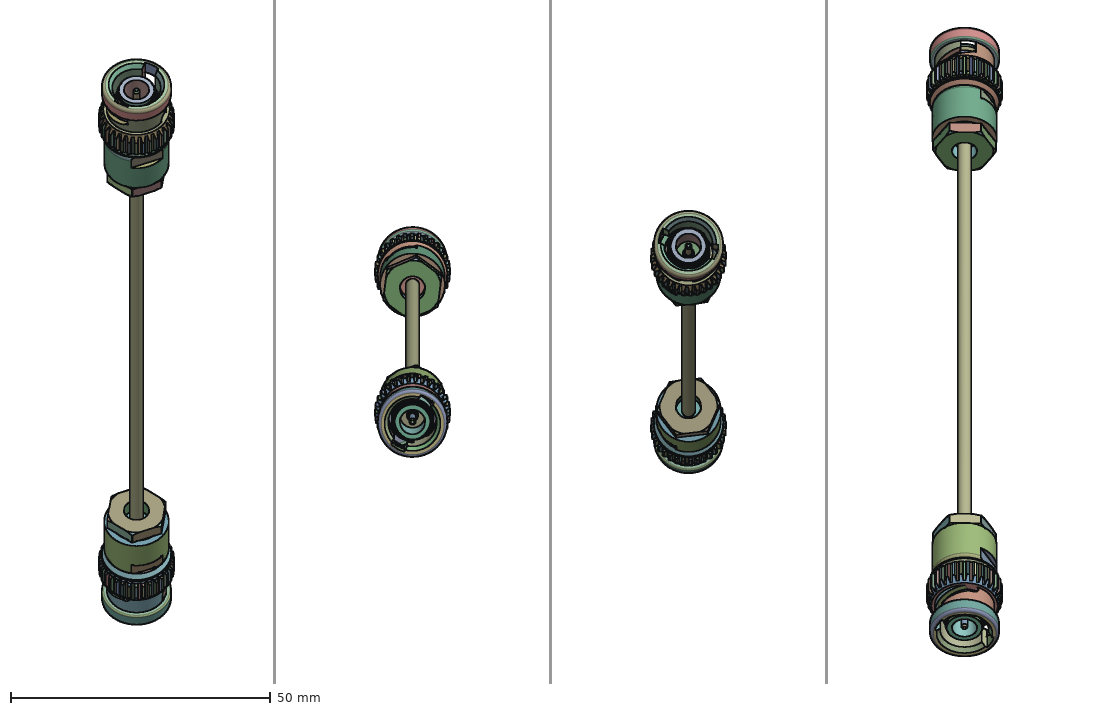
import cadquery as cq
import math

assembly_length = 156.0
connector_length = 27.0

rim_diameter = 13.4
rim_depth = 3.0
rim_front_fillet = 0.6
rim_rear_fillet = 0.3
neck_diameter = 11.5
ring_bore_diameter = 9.4
lead_in_diameter = 10.8
lead_in_depth = 1.0
knurl_diameter = 14.5
knurl_start = 7.5
knurl_front_diameter = 12.8
knurl_front_chamfer = 1.5
knurl_end = 13.0
knurl_rear_chamfer = 0.5
knurl_count = 32
knurl_groove_depth = 0.6
knurl_groove_width = 1.0
knurl_groove_floor_width = 0.5
relief_diameter = 12.5
flange_start = 13.7
flange_diameter = 13.4
flange_taper_start = 14.0
flange_end = 14.8
flange_rear_diameter = 11.7
ring_cavity_depth = 8.5

slot_count = 2
entry_azimuth = -126.0
entry_width = 3.0
entry_end = 5.5
lock_azimuth = -45.0
lock_diameter = 2.0
lock_depth = 7.0
ramp_start = 5.1
ramp_width = 1.5

sleeve_tip_depth = 1.5
sleeve_diameter = 6.9
sleeve_base_diameter = 7.5
sleeve_step_depth = 2.5
sleeve_collar_diameter = 8.1
sleeve_collar_depth = 3.9
sleeve_bore_diameter = 4.8
sleeve_bore_end = 7.8
insulator_bore_diameter = 2.2
insulator_bore_end = 8.5
pin_diameter = 1.26
pin_tip_diameter = 0.72
pin_tip_length = 0.5
pin_tip_depth = 1.5
pin_shoulder_diameter = 1.5
pin_shoulder_depth = 7.0

body_diameter = 12.5
body_fillet = 0.85
body_end = 23.7
flat_distance = 10.6
flat_end = 17.8
nut_sides = 6
nut_corner_diameter = 12.2
nut_neck_diameter = 9.8
nut_start = 24.5
nut_face_diameter = 11.0
nut_chamfer = 0.3
cable_entry_diameter = 4.8
cable_entry_length = 3.1

cable_diameter = 2.7


def revolve_profile(points):
    """Revolve a closed (diameter, depth) outline; the mating face lies at depth 0."""
    outline = [(diameter / 2, depth) for diameter, depth in points]
    return cq.Workplane("XZ").polyline(outline).close().revolve(360, (0, 0), (0, 1))


def cylinder(diameter, start, end):
    """Cylinder on the connector axis between two depths."""
    return cq.Workplane("XY", origin=(0, 0, start)).circle(diameter / 2).extrude(end - start)


def make_slotted_neck():
    """Rim and neck of the coupling ring with the two bayonet slots cut through the wall."""
    neck = revolve_profile([
        (lead_in_diameter, 0),
        (rim_diameter, 0),
        (rim_diameter, rim_depth),
        (neck_diameter, rim_depth),
        (neck_diameter, ring_cavity_depth),
        (ring_bore_diameter, ring_cavity_depth),
        (ring_bore_diameter, lead_in_depth),
    ])
    largest_radius = cq.selectors.RadiusNthSelector(-1)
    neck = neck.edges(largest_radius).edges("<Z").fillet(rim_front_fillet)
    neck = neck.edges(largest_radius).edges(">Z").fillet(rim_rear_fillet)
    for index in range(slot_count):
        slot = make_bayonet_slot().rotate((0, 0, 0), (0, 0, 1), index * 360 / slot_count)
        neck = neck.cut(slot)
    return neck


def make_bayonet_slot():
    """Axial entry slot, sloping ramp and round locking end of one bayonet slot."""
    reach = neck_diameter / 2
    entry = cq.Workplane("XY").box(reach, entry_width, entry_end, centered=(False, True, False))
    entry = entry.intersect(cylinder(neck_diameter, 0, entry_end))
    entry = entry.rotate((0, 0, 0), (0, 0, 1), entry_azimuth)

    lock = cq.Workplane("YZ").center(0, lock_depth).circle(lock_diameter / 2).extrude(reach)
    lock = lock.rotate((0, 0, 0), (0, 0, 1), lock_azimuth)

    half_span = (lock_azimuth - entry_azimuth) / 2
    ramp_run = neck_diameter * math.sin(math.radians(half_span))
    ramp_rise = lock_depth - ramp_start
    ramp_angle = math.degrees(math.atan2(ramp_rise, ramp_run))
    ramp_length = math.hypot(ramp_rise, ramp_run)
    ramp = (
        cq.Workplane("YZ")
        .center(0, (ramp_start + lock_depth) / 2)
        .slot2D(ramp_length + ramp_width, ramp_width, ramp_angle)
        .extrude(reach)
        .rotate((0, 0, 0), (0, 0, 1), lock_azimuth - half_span)
    )
    return entry.union(lock).union(ramp)


def make_knurled_grip():
    """Grip of the coupling ring with axial flat-bottomed grooves, followed by the rear flange."""
    grip = revolve_profile([
        (ring_bore_diameter, knurl_start),
        (knurl_front_diameter, knurl_start),
        (knurl_diameter, knurl_start + knurl_front_chamfer),
        (knurl_diameter, knurl_end - knurl_rear_chamfer),
        (knurl_diameter - 2 * knurl_rear_chamfer, knurl_end),
        (ring_bore_diameter, knurl_end),
    ])
    floor_radius = knurl_diameter / 2 - knurl_groove_depth
    groove = (
        cq.Workplane("XY", origin=(0, 0, knurl_start))
        .polyline([
            (floor_radius, knurl_groove_floor_width / 2),
            (knurl_diameter / 2, knurl_groove_width / 2),
            (knurl_diameter / 2, -knurl_groove_width / 2),
            (floor_radius, -knurl_groove_floor_width / 2),
        ])
        .close()
        .extrude(knurl_end - knurl_start)
    )
    grooves = [
        groove.val().rotate(cq.Vector(0, 0, 0), cq.Vector(0, 0, 1), (index + 0.5) * 360 / knurl_count)
        for index in range(knurl_count)
    ]
    grip = grip.cut(cq.Workplane("XY").newObject([cq.Compound.makeCompound(grooves)]))
    flange = revolve_profile([
        (0, ring_cavity_depth),
        (ring_bore_diameter, ring_cavity_depth),
        (ring_bore_diameter, knurl_end),
        (relief_diameter, knurl_end),
        (flange_diameter, flange_start),
        (flange_diameter, flange_taper_start),
        (flange_rear_diameter, flange_end),
        (0, flange_end),
    ])
    return grip.union(flange)


def make_contact_sleeve():
    """Stepped outer contact sleeve around the centre pin."""
    sleeve = revolve_profile([
        (sleeve_bore_diameter, sleeve_tip_depth),
        (sleeve_diameter, sleeve_tip_depth),
        (sleeve_diameter, sleeve_step_depth),
        (sleeve_base_diameter, sleeve_step_depth),
        (sleeve_base_diameter, sleeve_collar_depth),
        (sleeve_collar_diameter, sleeve_collar_depth),
        (sleeve_collar_diameter, ring_cavity_depth),
        (insulator_bore_diameter, ring_cavity_depth),
        (insulator_bore_diameter, sleeve_bore_end),
        (sleeve_bore_diameter, sleeve_bore_end),
    ])
    pin = revolve_profile([
        (0, pin_tip_depth),
        (pin_tip_diameter, pin_tip_depth),
        (pin_diameter, pin_tip_depth + pin_tip_length),
        (pin_diameter, pin_shoulder_depth),
        (pin_shoulder_diameter, pin_shoulder_depth),
        (pin_shoulder_diameter, insulator_bore_end),
        (0, insulator_bore_end),
    ])
    return sleeve.union(pin)


def make_rear_body():
    """Cylindrical body, rounded at its front edge, with two wrench flats."""
    body = cylinder(body_diameter, flange_end, body_end).faces("<Z").fillet(body_fillet)
    slab = cq.Workplane("XY", origin=(0, 0, flange_end)).box(
        flat_distance, body_diameter, flat_end - flange_end, centered=(True, True, False)
    )
    return body.intersect(slab.union(cylinder(body_diameter, flat_end, body_end)))


def make_clamp_nut():
    """Hexagonal clamp nut, chamfered at the cable end, with its narrower neck."""
    corner_diameter = flat_distance / math.cos(math.pi / nut_sides)
    hexagon = (
        cq.Workplane("XY", origin=(0, 0, nut_start))
        .polygon(nut_sides, corner_diameter)
        .extrude(connector_length - nut_start)
        .rotate((0, 0, 0), (0, 0, 1), 180 / nut_sides)
    )
    envelope = revolve_profile([
        (0, nut_start),
        (nut_corner_diameter, nut_start),
        (nut_corner_diameter, connector_length - nut_chamfer),
        (nut_face_diameter, connector_length),
        (0, connector_length),
    ])
    return hexagon.intersect(envelope).union(cylinder(nut_neck_diameter, body_end, nut_start))


def make_connector():
    """One complete plug with its mating face at the origin and its cable end toward +Z."""
    connector = (
        make_slotted_neck()
        .union(make_knurled_grip())
        .union(make_contact_sleeve())
        .union(make_rear_body())
        .union(make_clamp_nut())
    )
    cable_entry = cylinder(
        cable_entry_diameter, connector_length - cable_entry_length, connector_length
    )
    return connector.cut(cable_entry)


def make_cable():
    """Round cable that reaches the floor of the cable entry in both connectors."""
    cable_start = connector_length - cable_entry_length
    return cylinder(cable_diameter, cable_start, assembly_length - cable_start)


plug = make_connector()
connectors = []
for turn, height in ((0, 0), (180, assembly_length)):
    placed = plug.rotate((0, 0, 0), (0, 1, 0), turn).translate((0, 0, height))
    connectors.append(placed)

cable = make_cable()

result = cq.Compound.makeCompound([*(connector.val() for connector in connectors), cable.val()])